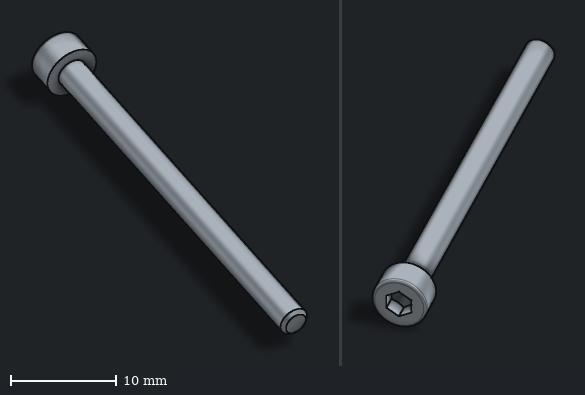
import cadquery as cq
import math

total_length = 43.0
head_diameter = 5.5
head_length = 3.0
head_edge_radius = 0.3
shank_diameter = 3.0
tip_chamfer = 0.4

socket_width = 2.5
socket_depth = 1.5
socket_cone_angle = 120.0

socket_corner_diameter = socket_width / math.cos(math.pi / 6)
cone_radius = socket_corner_diameter / 2
cone_depth = cone_radius / math.tan(math.radians(socket_cone_angle / 2))


def make_head():
    head = cq.Workplane("YZ").circle(head_diameter / 2).extrude(head_length)
    return head.faces("<X").edges().fillet(head_edge_radius)


def make_shank():
    shank_length = total_length - head_length
    shank = (
        cq.Workplane("YZ", origin=(head_length, 0, 0))
        .circle(shank_diameter / 2)
        .extrude(shank_length)
    )
    return shank.faces(">X").chamfer(tip_chamfer)


def make_socket():
    hexagon = (
        cq.Workplane("YZ")
        .transformed(rotate=(0, 0, 90))
        .polygon(6, socket_corner_diameter)
        .extrude(socket_depth + cone_depth)
    )
    pointed_bore = (
        cq.Workplane("XY")
        .polyline([
            (0, 0),
            (0, cone_radius),
            (socket_depth, cone_radius),
            (socket_depth + cone_depth, 0),
        ])
        .close()
        .revolve(360, (0, 0, 0), (1, 0, 0))
    )
    return hexagon.intersect(pointed_bore)


result = make_head().union(make_shank()).cut(make_socket())